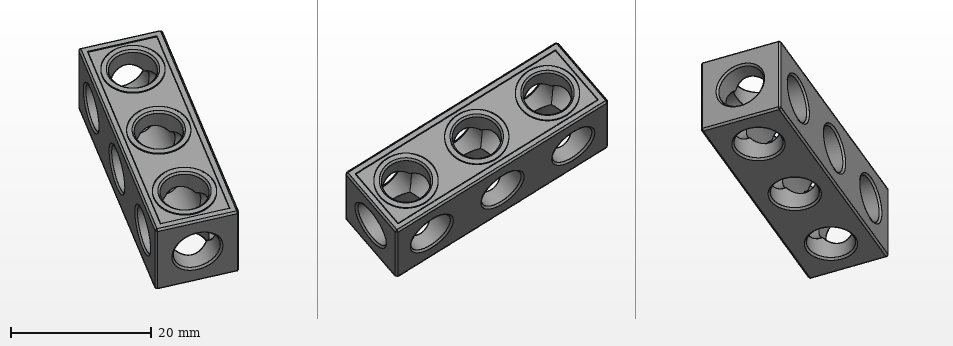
import cadquery as cq

cell_count = 3
length = 37.5
pitch = length / cell_count
side = pitch
hole_diameter = 7.0
edge_chamfer = 0.3
rim_width = 1.1
collar_diameter = 9.2
panel_depth = 0.2

half_side = side / 2
cell_centers = [(i - (cell_count - 1) / 2) * pitch for i in range(cell_count)]


def chamfered_hole(center, axis, depth):
    """Cutter for a through hole with both mouths chamfered, centred on `center`."""
    radius = hole_diameter / 2
    mouth_radius = radius + edge_chamfer
    half_depth = depth / 2
    profile = [
        (0, -half_depth),
        (mouth_radius, -half_depth),
        (radius, -half_depth + edge_chamfer),
        (radius, half_depth - edge_chamfer),
        (mouth_radius, half_depth),
        (0, half_depth),
    ]
    cutter = cq.Workplane("XZ").polyline(profile).close().revolve(360, (0, 0), (0, 1))
    if axis == "X":
        cutter = cutter.rotate((0, 0, 0), (0, 1, 0), 90)
    elif axis == "Y":
        cutter = cutter.rotate((0, 0, 0), (1, 0, 0), 90)
    return cutter.translate(center)


def top_panel():
    """Cutter for the shallow top recess, leaving a collar around each hole."""
    floor = cq.Workplane("XY").workplane(offset=half_side - panel_depth)
    recess = floor.rect(length - 2 * rim_width, side - 2 * rim_width).extrude(panel_depth)
    collars = (
        floor.pushPoints([(x, 0) for x in cell_centers])
        .circle(collar_diameter / 2)
        .extrude(panel_depth)
    )
    return recess.cut(collars)


result = cq.Workplane("XY").box(length, side, side).edges().chamfer(edge_chamfer)

result = result.cut(top_panel())

result = result.cut(chamfered_hole((0, 0, 0), "X", length))
for x in cell_centers:
    for axis in ("Y", "Z"):
        result = result.cut(chamfered_hole((x, 0, 0), axis, side))